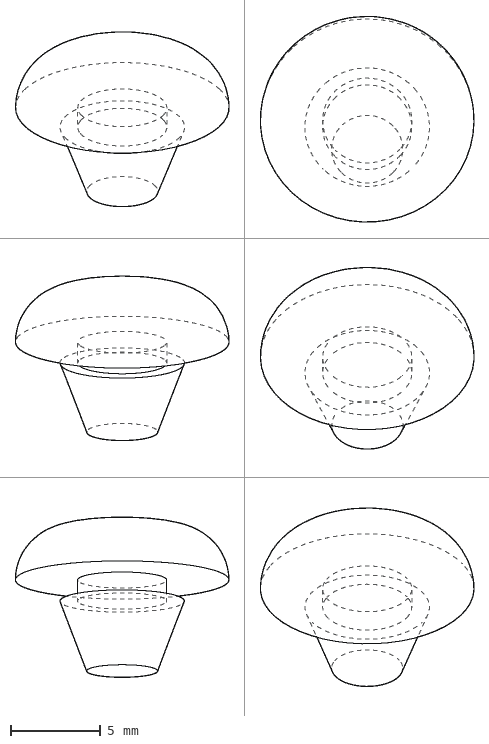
import cadquery as cq
import math

head_diameter = 12.0
head_height = 3.0

neck_diameter = 5.0
neck_height = 1.2

barb_diameter = 7.0
tip_diameter = 4.0
barb_height = 4.0

head_radius = head_diameter / 2
neck_radius = neck_diameter / 2
barb_radius = barb_diameter / 2
tip_radius = tip_diameter / 2

barb_top = barb_height
head_bottom = barb_top + neck_height
head_top = head_bottom + head_height

flat_radius = head_radius - head_height
arc_offset = head_height * math.sqrt(0.5)
arc_middle = (flat_radius + arc_offset, head_bottom + arc_offset)

half_section = (
    cq.Workplane("XZ")
    .lineTo(tip_radius, 0)
    .lineTo(barb_radius, barb_top)
    .lineTo(neck_radius, barb_top)
    .lineTo(neck_radius, head_bottom)
    .lineTo(head_radius, head_bottom)
    .threePointArc(arc_middle, (flat_radius, head_top))
    .lineTo(0, head_top)
    .close()
)
result = half_section.revolve(360, (0, 0, 0), (0, 1, 0))